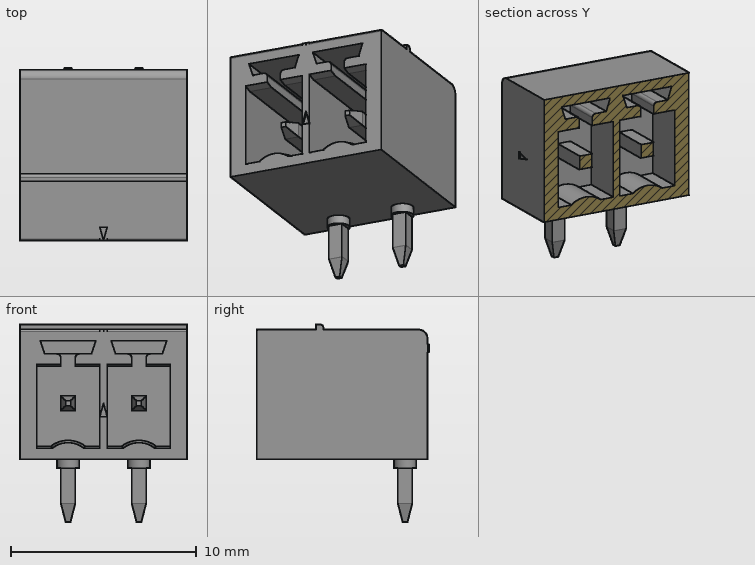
import cadquery as cq


overall_height = 10.65
width = 9.01
depth = 9.2
height = 6.99
back_edge_radius = 0.5
front_edge_radius = 0.1

pitch = 3.81
pole_positions = (-pitch / 2, pitch / 2)
leg_position = 7.99
divider_width = 0.43

rib_front = 3.2
rib_thickness = 0.4
rib_height = 0.28
rib_radius = 0.19

pocket_width = pitch - divider_width
pocket_depth = 7.0
pocket_floor = 0.71
pocket_ceiling = 5.0
flare_length = 0.5
flare_rise = 0.13
floor_bump_radius = 1.49
floor_bump_top = 1.02

slot_depth = leg_position
slot_floor = 5.67
slot_ceiling = 6.37
slot_floor_width = 2.51
slot_ceiling_width = 2.98
neck_width = 0.79
neck_edge_radius = 0.2

pin_size = 0.79
pin_tip_size = 0.27
pin_taper = 1.01
contact_height = 3.01
contact_tip = 1.19
leg_tip = rib_height + height - overall_height
collar_radius = 0.61
collar_height = 0.47

boss_height = 0.1
boss_radius = 0.25
boss_tip_radius = 0.17
boss_center_height = 5.97

marker_depth = 0.1
marker_width = 0.39
marker_length = 0.71
side_marker_length = 0.81
top_marker_tip = 0.01
side_marker_tip = 6.54


def box(x_min, x_max, y_min, y_max, z_min, z_max):
    size = (x_max - x_min, y_max - y_min, z_max - z_min)
    return cq.Workplane("XY").box(*size, centered=False).translate((x_min, y_min, z_min))


def make_housing():
    half = width / 2
    body = box(-half, half, 0, depth, 0, height)
    body = body.edges(">Y and >Z").fillet(back_edge_radius)

    rib = box(-half, half, rib_front, rib_front + rib_thickness, 0, height + rib_height)
    rib = rib.edges(">Y and >Z").fillet(rib_radius)

    edge_size = front_edge_radius
    edge_waste = box(-half, half, 0, edge_size, height - edge_size, height)
    edge_round = (
        cq.Workplane("YZ", origin=(-half, 0, 0))
        .center(edge_size, height - edge_size)
        .circle(edge_size)
        .extrude(width)
    )
    unrounded = box(-divider_width / 2, divider_width / 2, 0, edge_size, 0, height)
    return body.cut(edge_waste.cut(edge_round).cut(unrounded)).union(rib)


def make_pocket(x):
    profile = [
        (0, pocket_floor - flare_rise),
        (flare_length, pocket_floor),
        (pocket_depth, pocket_floor),
        (pocket_depth, pocket_ceiling),
        (flare_length, pocket_ceiling),
        (0, pocket_ceiling + flare_rise),
    ]
    left = x - pocket_width / 2
    pocket = cq.Workplane("YZ", origin=(left, 0, 0)).polyline(profile).close().extrude(pocket_width)

    bump_profile = [
        (0, 0),
        (floor_bump_radius - flare_rise, 0),
        (floor_bump_radius, flare_length),
        (floor_bump_radius, pocket_depth),
        (0, pocket_depth),
    ]
    bump = cq.Workplane("XY").polyline(bump_profile).close().revolve(360, (0, 0, 0), (0, 1, 0))
    return pocket.cut(bump.translate((x, 0, floor_bump_top - floor_bump_radius)))


def make_coding_slot(x):
    outline = [
        (x - slot_floor_width / 2, slot_floor),
        (x + slot_floor_width / 2, slot_floor),
        (x + slot_ceiling_width / 2, slot_ceiling),
        (x - slot_ceiling_width / 2, slot_ceiling),
    ]
    slot = cq.Workplane("XZ").polyline(outline).close().extrude(-slot_depth)

    half_neck = neck_width / 2
    half_mouth = half_neck + neck_edge_radius
    shoulder = slot_floor - neck_edge_radius
    neck = (
        cq.Workplane("XZ")
        .moveTo(x - half_neck, pocket_ceiling)
        .lineTo(x + half_neck, pocket_ceiling)
        .lineTo(x + half_neck, shoulder)
        .radiusArc((x + half_mouth, slot_floor), neck_edge_radius)
        .lineTo(x - half_mouth, slot_floor)
        .radiusArc((x - half_neck, shoulder), neck_edge_radius)
        .close()
        .extrude(-pocket_depth)
    )
    return slot.union(neck)


def make_square_pin(length):
    """Pin along +Z from the origin, its last stretch tapering to a blunt tip."""
    shank_length = length - pin_taper
    shank = cq.Workplane("XY").rect(pin_size, pin_size).extrude(shank_length)
    tip = (
        cq.Workplane("XY", origin=(0, 0, shank_length))
        .rect(pin_size, pin_size)
        .workplane(offset=pin_taper)
        .rect(pin_tip_size, pin_tip_size)
        .loft(ruled=True)
    )
    return shank.union(tip)


def make_bent_pin(x):
    contact = make_square_pin(leg_position - contact_tip).rotate((0, 0, 0), (1, 0, 0), 90)
    contact = contact.translate((x, leg_position, contact_height))
    leg = make_square_pin(contact_height - leg_tip).rotate((0, 0, 0), (1, 0, 0), 180)
    leg = leg.translate((x, leg_position, contact_height))
    collar = (
        cq.Workplane("XY", origin=(x, leg_position, -collar_height))
        .circle(collar_radius)
        .extrude(collar_height + pocket_floor)
    )
    return contact.union(leg).union(collar)


def make_back_boss(x):
    direction = cq.Vector(0, 1, 0)
    base = cq.Vector(x, depth, boss_center_height)
    return cq.Workplane(cq.Solid.makeCone(boss_radius, boss_tip_radius, boss_height, base, direction))


def make_marker(face, length):
    """Triangle with its tip at the origin of the face plane, pointing along local +Y."""
    half = marker_width / 2
    outline = [(0, 0), (-half, -length), (half, -length)]
    return cq.Workplane(face).polyline(outline).close().extrude(-marker_depth)


result = make_housing()
for pole_x in pole_positions:
    result = result.cut(make_pocket(pole_x)).cut(make_coding_slot(pole_x))
    result = result.union(make_bent_pin(pole_x)).union(make_back_boss(pole_x))

front_marker_face = cq.Plane(origin=(0, 0, contact_height), xDir=(1, 0, 0), normal=(0, -1, 0))
top_marker_face = cq.Plane(origin=(0, top_marker_tip, height), xDir=(-1, 0, 0), normal=(0, 0, 1))
side_marker_face = cq.Plane(
    origin=(-width / 2, side_marker_tip, contact_height), xDir=(0, 0, -1), normal=(-1, 0, 0)
)
result = result.cut(make_marker(front_marker_face, marker_length))
result = result.cut(make_marker(top_marker_face, marker_length))
result = result.cut(make_marker(side_marker_face, side_marker_length))